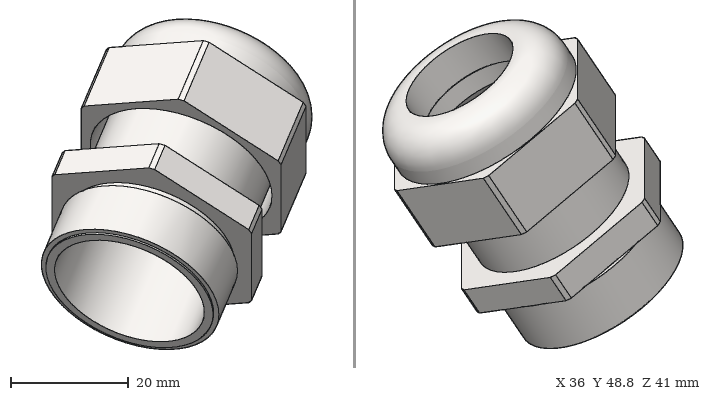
import cadquery as cq

total_length = 48.8

hex_across_flats = 36.0
hex_corner_diameter = 41.0

bore_diameter = 27.0
barrel_diameter = 29.85
thread_diameter = 32.0
tip_diameter = 30.15
tip_length = 0.35
thread_end = 10.0
body_hex_start = 11.55
body_hex_end = 16.95

nut_start = 26.8
nut_hex_end = 39.75
dome_diameter = 35.5
dome_radius = 6.2
nut_cavity_diameter = 32.75
nut_cavity_end = 42.45
nut_opening_diameter = 21.0

seal_start = 36.1
seal_hole_diameter = 21.5
seal_entry_length = (bore_diameter - seal_hole_diameter) / 2


def cylinder(diameter, start, end):
    """Solid cylinder on the Y axis from start to end."""
    plane = cq.Workplane("XZ", origin=(0, start, 0))
    return plane.circle(diameter / 2).extrude(start - end)


def hexagon(start, end):
    """Hexagonal prism on the Y axis, flats facing +X and -X, with turned corners."""
    prism = (
        cq.Workplane("XZ", origin=(0, start, 0))
        .polygon(6, hex_across_flats, circumscribed=True)
        .extrude(start - end)
    )
    return prism.intersect(cylinder(hex_corner_diameter, start, end))


def make_body():
    """Barrel with wrench hexagon, threaded end, stepped tip and a through bore."""
    tip = cylinder(tip_diameter, 0, tip_length)
    thread = cylinder(thread_diameter, tip_length, thread_end)
    barrel = cylinder(barrel_diameter, 0, nut_cavity_end)
    outside = barrel.union(tip).union(thread).union(hexagon(body_hex_start, body_hex_end))
    return outside.cut(cylinder(bore_diameter, 0, nut_cavity_end))


def make_nut():
    """Hexagonal nut with a domed end, a cavity for the barrel and a cable opening."""
    dome = cylinder(dome_diameter, nut_start, total_length).faces(">Y").edges().fillet(dome_radius)
    outside = dome.union(hexagon(nut_start, nut_hex_end))
    cavity = cylinder(nut_cavity_diameter, nut_start, nut_cavity_end)
    opening = cylinder(nut_opening_diameter, nut_cavity_end, total_length)
    return outside.cut(cavity).cut(opening)


def make_seal():
    """Ring filling the bore, with a conical entry on the threaded side."""
    outer_radius = bore_diameter / 2
    hole_radius = seal_hole_diameter / 2
    entry_end = seal_start + seal_entry_length
    return (
        cq.Workplane("XY")
        .moveTo(outer_radius, seal_start)
        .lineTo(hole_radius, entry_end)
        .lineTo(hole_radius, nut_cavity_end)
        .lineTo(outer_radius, nut_cavity_end)
        .close()
        .revolve(360, (0, 0, 0), (0, 1, 0))
    )


body = make_body()
nut = make_nut()
seal = make_seal()

result = cq.Compound.makeCompound([*body.solids().vals(), *nut.solids().vals(), seal.val()])